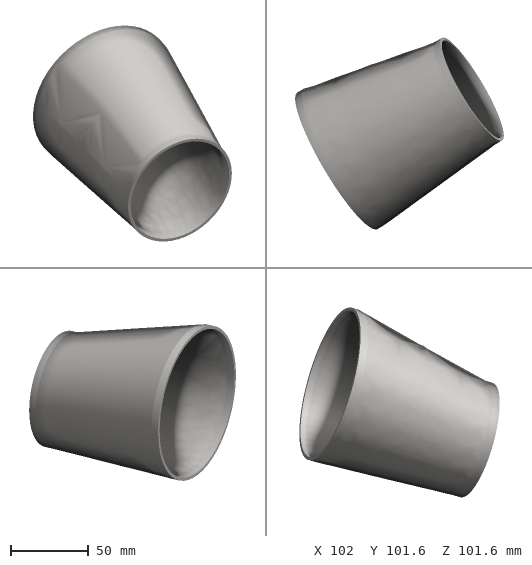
import cadquery as cq

large_diameter = 101.6
small_diameter = 76.3
wall = 2.0
length = 102.0
collar_length = 5.0

small_axis_z = (small_diameter - large_diameter) / 2
taper_end_x = length - collar_length


def collar(start_x, axis_z, diameter):
    """Straight cylinder of one collar length, starting at start_x."""
    start_plane = cq.Workplane("YZ", origin=(start_x, 0, axis_z))
    return start_plane.circle(diameter / 2).extrude(collar_length)


def taper(start_diameter, end_diameter):
    """Slanted cone joining the two collars."""
    return (
        cq.Workplane("YZ", origin=(collar_length, 0, 0))
        .circle(start_diameter / 2)
        .workplane(offset=taper_end_x - collar_length)
        .center(0, small_axis_z)
        .circle(end_diameter / 2)
        .loft(ruled=True, combine=True)
    )


def reducer_body(inset):
    """Solid reducer shape with every surface moved inward by inset."""
    start_diameter = large_diameter - 2 * inset
    end_diameter = small_diameter - 2 * inset
    large_collar = collar(0, 0, start_diameter)
    small_collar = collar(taper_end_x, small_axis_z, end_diameter)
    return large_collar.union(taper(start_diameter, end_diameter)).union(small_collar)


outer_body = reducer_body(0)
bore = reducer_body(wall)
result = outer_body.cut(bore)